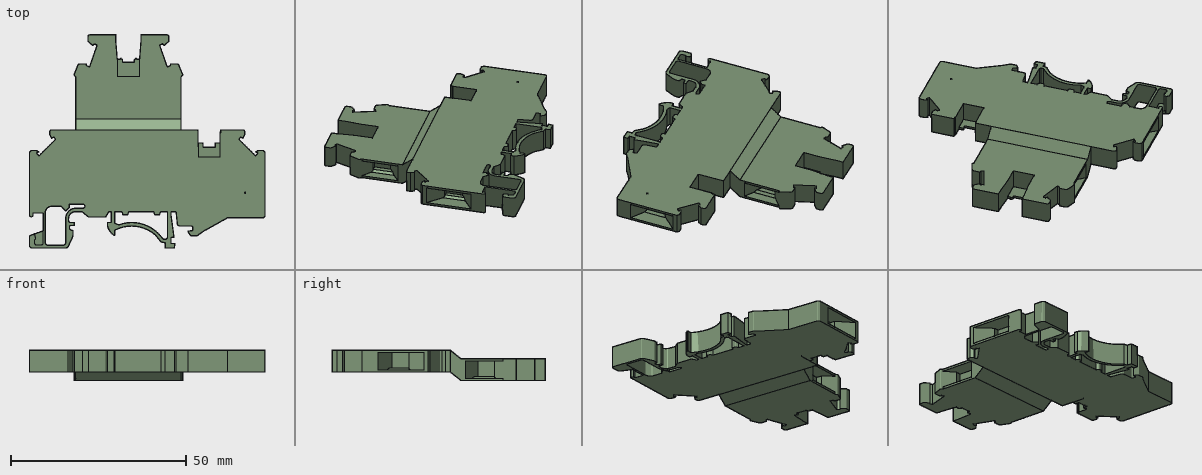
import cadquery as cq
import math

plate_thickness = 6.25
base_bottom = 2.4
base_top = base_bottom + plate_thickness
body_length = 67.2
skin = 0.7
cut_overrun = 0.7

base_shoulder_y = 33.75
end_ear_y = 27.35
underside_y = 10.35

upper_center_x = 28.2
upper_half_width = 15.05
upper_top_y = 60.8
web_top_y = 36.75
shoulder_bottom_y = 48.8

upper_notch_bottom_y = 48.85
upper_notch_half_width = 3.15
upper_notch_half_mouth = 3.55
base_notch_bottom_y = 25.95
base_notch_left_x = 48.2
base_notch_right_x = 54.3

throat_width = 4.8
throat_step = 0.55
ramp_length = 0.8

latch_web_thickness = 1.1

pin_mark_x = 61.5
pin_mark_y = 15.8
pin_mark_diameter = 0.35


def rounded_outline(corners, z):
    """Closed wire from (x, y) or (x, y, radius) corners, with tangent arcs at the radii."""
    count = len(corners)
    outline = None
    for i, corner in enumerate(corners):
        here = cq.Vector(corner[0], corner[1])
        radius = corner[2] if len(corner) > 2 else 0
        stops = [here]
        if radius:
            before = cq.Vector(*corners[i - 1][:2])
            after = cq.Vector(*corners[(i + 1) % count][:2])
            to_before = (before - here).normalized()
            to_after = (after - here).normalized()
            half_angle = to_before.getAngle(to_after) / 2
            setback = radius / math.tan(half_angle)
            bisector = (to_before + to_after).normalized()
            middle = here + bisector * (radius / math.sin(half_angle) - radius)
            stops = [here + to_before * setback, middle, here + to_after * setback]
        first = stops[0].toTuple()[:2]
        if outline is None:
            outline = cq.Workplane("XY").workplane(offset=z).moveTo(*first)
        else:
            outline = outline.lineTo(*first)
        if radius:
            outline = outline.threePointArc(stops[1].toTuple()[:2], stops[2].toTuple()[:2])
    return outline.close()


def mirrored(corners, center_x):
    """The same corners reflected about x = center_x, in reverse order."""
    return [(2 * center_x - c[0], *c[1:]) for c in reversed(corners)]


def base_plate():
    left_end = [
        (5.8, base_shoulder_y, 0.6), (5.8, 32.4), (6.3, 31.3), (7.0, 31.6), (7.45, 31.0, 0.2),
        (2.75, 26.35), (2.1, 27.1), (2.7, 27.4), (1.95, 27.9, 0.8), (0.55, 27.9, 0.6), (0, end_ear_y),
    ]
    lower_edge = [
        (0, 9.2, 0.2), (0.55, 8.8, 0.2), (1.1, 9.2), (1.1, 9.95), (4.6, 9.95), (4.6, 11.9, 1.75),
        (9.1, 11.9), (10.35, 10.55), (11.4, 11.55), (11.4, 12.5),
        (15.8, 12.5, 0.5), (15.8, 11.4, 0.5), (15.05, 11.4), (15.05, underside_y, 0.35),
        (16.8, 8.9), (21.8, 8.9, 0.35), (22.65, underside_y, 0.3),
    ]
    for rib_x in (27.35, 36.4):
        lower_edge += [
            (rib_x - 1.0, underside_y), (rib_x - 0.7, 9.5, 0.3),
            (rib_x + 0.7, 9.5, 0.3), (rib_x + 1.0, underside_y),
        ]
    lower_edge += [
        (41.8, underside_y, 0.3), (42.2, 6.25, 0.9), (46.5, 6.25, 0.2), (46.5, 5.05, 0.2),
        (45.1, 4.85, 0.2), (45.95, 3.5, 0.55), (47.8, 3.5, 0.55), (49.6, 4.8),
        (56.45, 8.6), (body_length, 8.6, 0.8),
    ]
    corners = left_end + lower_edge + mirrored(left_end, body_length / 2)
    return rounded_outline(corners, base_bottom).extrude(plate_thickness)


def latch_foot():
    """Springy U-shaped foot with a screwdriver hook on its outer side."""
    corners = [
        (0, 0, 0.8), (10.9, 0, 1.0), (12.5, 3.5, 2.7), (12.5, 5.0, 0.2), (11.5, 5.4, 0.3),
        (11.5, 6.4, 0.3), (12.85, 6.45), (12.85, 7.3), (11.2, 7.3, 0.55), (11.2, underside_y, 1.9),
        (16.1, underside_y), (16.1, 11.4), (10.35, 11.4, 2.95), (10.35, 0.9, 0.75), (4.6, 0.9, 0.75),
        (4.6, 10.75), (3.9, 10.75), (3.9, 0.9, 0.55), (1.5, 0.9, 0.6), (1.5, 2.35), (1.75, 2.55),
        (1.6, 3.75, 0.4), (0.9, 3.9), (0, 3.5, 0.55),
    ]
    web_corners = [(0.7, 0.35), (4.0, 0.35), (4.0, 5.0), (0.95, 3.9)]
    foot = rounded_outline(corners, base_bottom).extrude(plate_thickness)
    web = rounded_outline(web_corners, base_bottom).extrude(latch_web_thickness)
    return foot.union(web)


def spring_foot():
    """Arched spring between two struts under the rail seat."""
    strut_top = underside_y + 0.35
    return (
        cq.Workplane("XY").workplane(offset=base_bottom)
        .moveTo(23.3, strut_top)
        .lineTo(23.3, 7.3)
        .lineTo(22.25, 7.3)
        .lineTo(22.25, 6.25)
        .threePointArc((22.7, 5.2), (24.1, 3.6))
        .lineTo(24.4, 3.75)
        .lineTo(24.4, 5.1)
        .threePointArc((32.65, 5.65), (35.9, 3.75))
        .lineTo(37.5, 1.75)
        .lineTo(38.7, 1.5)
        .lineTo(38.7, 0)
        .lineTo(41.3, 0)
        .lineTo(41.5, 1.35)
        .lineTo(40.4, 1.35)
        .lineTo(40.4, 3.0)
        .lineTo(41.25, 3.1)
        .lineTo(40.4, 9.55)
        .lineTo(40.4, strut_top)
        .lineTo(39.3, strut_top)
        .lineTo(39.3, 2.95)
        .lineTo(39.0, 2.55)
        .lineTo(38.25, 2.55)
        .lineTo(36.8, 4.1)
        .threePointArc((29.8, 7.3), (25.5, 6.65))
        .lineTo(24.4, 7.1)
        .lineTo(24.4, strut_top)
        .close()
        .extrude(plate_thickness)
    )


def upper_plate():
    left_half = [
        (16.65, upper_top_y, 0.6), (16.65, 58.95, 0.2), (18.1, 57.7), (18.5, 58.2), (19.3, 57.85),
        (17.15, 51.7), (16.3, 52.0), (16.2, 52.55), (14.0, 52.55, 0.8), (12.7, 49.4, 0.2),
        (upper_center_x - upper_half_width, shoulder_bottom_y),
        (upper_center_x - upper_half_width, web_top_y),
    ]
    corners = left_half + mirrored(left_half, upper_center_x)
    return rounded_outline(corners, 0).extrude(plate_thickness)


def sloped_web():
    """Inclined wall that steps from the upper plate up to the base plate."""
    return (
        cq.Workplane("YZ").workplane(offset=upper_center_x - upper_half_width)
        .polyline([
            (web_top_y, 0), (web_top_y, plate_thickness),
            (base_shoulder_y, base_top), (base_shoulder_y, base_bottom),
        ])
        .close()
        .extrude(2 * upper_half_width)
    )


def upper_notch():
    left_wall = [
        (upper_center_x - upper_notch_half_mouth, upper_top_y + cut_overrun),
        (upper_center_x - upper_notch_half_mouth, upper_top_y - 1.8),
        (upper_center_x - upper_notch_half_width, 53.9),
        (upper_center_x - upper_notch_half_width, upper_notch_bottom_y),
    ]
    corners = left_wall + mirrored(left_wall, upper_center_x)
    return rounded_outline(corners, 0).extrude(plate_thickness)


def upper_notch_floor():
    left_half = [
        (upper_center_x - upper_notch_half_width, upper_notch_bottom_y),
        (upper_center_x - upper_notch_half_width, 53.9), (25.9, 53.9), (26.1, 54.15),
        (26.6, 53.6), (26.6, 53.0),
    ]
    corners = left_half + mirrored(left_half, upper_center_x)
    return rounded_outline(corners, 0).extrude(skin)


def base_notch():
    open_y = base_shoulder_y + cut_overrun
    corners = [
        (base_notch_left_x - 0.15, open_y), (base_notch_left_x, base_notch_bottom_y),
        (base_notch_right_x, base_notch_bottom_y), (base_notch_right_x, 33.05),
        (base_notch_right_x + 0.2, 32.9), (base_notch_right_x + 0.2, open_y),
    ]
    return rounded_outline(corners, base_bottom).extrude(plate_thickness)


def base_notch_floor():
    recess_left_x = 49.5
    recess_right_x = 52.95
    ledge_y = 30.0
    recess_y = 28.75
    corners = [
        (base_notch_left_x, base_notch_bottom_y), (base_notch_right_x, base_notch_bottom_y),
        (base_notch_right_x, ledge_y), (recess_right_x, ledge_y), (recess_right_x, recess_y),
        (recess_left_x, recess_y), (recess_left_x, ledge_y, 0.3), (base_notch_left_x, ledge_y),
    ]
    return rounded_outline(corners, base_bottom).extrude(skin)


def wire_entry(face_x, mouth_low_y, mouth_high_y, throat_low_y, funnel_depth, full_depth,
               plate_bottom):
    """Cutter for a blind funnel in a left-hand end face.

    The high-Y side narrows to the throat and then runs straight; the low-Y side
    tapers over the full depth. The floor ramps up at the throat.
    """
    throat_high_y = throat_low_y + throat_width
    throat_x = face_x + funnel_depth
    end_x = face_x + full_depth
    open_x = face_x - cut_overrun
    floor_z = plate_bottom + skin
    roof_z = plate_bottom + plate_thickness - skin
    plan = [
        (face_x, mouth_low_y), (end_x, throat_low_y),
        (end_x, throat_high_y), (throat_x, throat_high_y), (face_x, mouth_high_y),
        (open_x, mouth_high_y), (open_x, mouth_low_y),
    ]
    side = [
        (open_x, floor_z), (throat_x - ramp_length / 2, floor_z),
        (throat_x + ramp_length / 2, floor_z + throat_step), (end_x, floor_z + throat_step),
        (end_x, roof_z), (open_x, roof_z),
    ]
    plan_prism = rounded_outline(plan, plate_bottom).extrude(plate_thickness)
    side_prism = cq.Workplane("XZ").polyline(side).close().extrude(-upper_top_y)
    return plan_prism.intersect(side_prism)


def both_ends(cutter, center_x):
    """The cutter together with its mirror image about x = center_x."""
    return cutter.union(cutter.mirror("YZ", (center_x, 0, 0)))


upper_entry = wire_entry(
    face_x=upper_center_x - upper_half_width, mouth_low_y=38.1, mouth_high_y=shoulder_bottom_y,
    throat_low_y=41.5, funnel_depth=2.95, full_depth=4.7, plate_bottom=0,
)
base_entry = wire_entry(
    face_x=0, mouth_low_y=13.05, mouth_high_y=26.2,
    throat_low_y=17.15, funnel_depth=4.2, full_depth=5.85, plate_bottom=base_bottom,
)
pin_mark = (
    cq.Workplane("XY").workplane(offset=base_top - skin)
    .center(pin_mark_x, pin_mark_y)
    .circle(pin_mark_diameter / 2)
    .extrude(skin)
)

upper = (
    upper_plate()
    .cut(upper_notch())
    .union(upper_notch_floor())
    .cut(both_ends(upper_entry, upper_center_x))
)
base = (
    base_plate()
    .cut(base_notch())
    .union(base_notch_floor())
    .cut(both_ends(base_entry, body_length / 2))
    .cut(pin_mark)
)
result = upper.union(sloped_web()).union(base).union(latch_foot()).union(spring_foot())